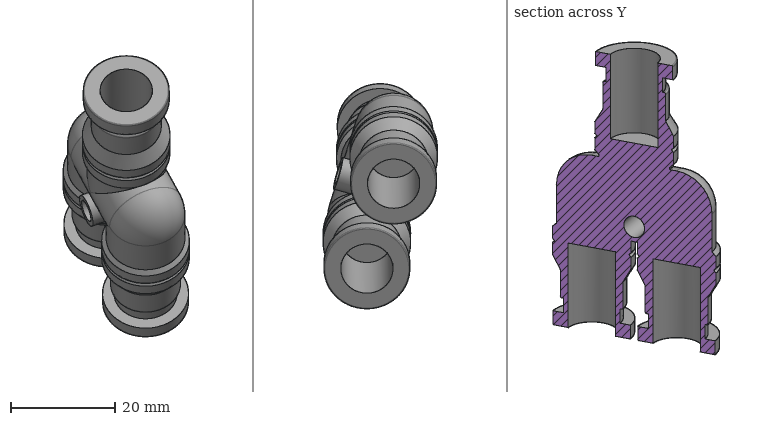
import cadquery as cq

overall_height = 58.5
cross_tube_z = overall_height / 2
leg_offset = 9.0

collar_diameter = 16.8
flange_diameter = 16.5
branch_diameter = 15.12
sleeve_diameter = 13.44
neck_diameter = 12.1
bore_diameter = 10.0

flange_thickness = 3.0
sleeve_start = 5.9
cone_start = 11.75
collar_start = 14.65
groove_center = 17.55
collar_end = 20.5
bore_depth = groove_center

flange_fillet = 0.2
sleeve_fillet = 0.35
groove_depth = 0.45

eye_z = 23.5
eye_diameter = 6.3
eye_hole_diameter = 4.3
eye_length = collar_diameter


def make_port():
    """Solid port with its open end at Z = 0 and its branch reaching the cross tube's axis."""
    flange_radius = flange_diameter / 2
    neck_radius = neck_diameter / 2
    sleeve_radius = sleeve_diameter / 2
    collar_radius = collar_diameter / 2
    branch_radius = branch_diameter / 2
    collar_chamfer = collar_radius - branch_radius
    half_profile = (
        cq.Workplane("XZ")
        .lineTo(flange_radius - flange_fillet, 0)
        .radiusArc((flange_radius, flange_fillet), -flange_fillet)
        .lineTo(flange_radius, flange_thickness)
        .lineTo(neck_radius, flange_thickness)
        .lineTo(neck_radius, sleeve_start)
        .lineTo(sleeve_radius - sleeve_fillet, sleeve_start)
        .radiusArc((sleeve_radius, sleeve_start + sleeve_fillet), -sleeve_fillet)
        .lineTo(sleeve_radius, cone_start)
        .lineTo(collar_radius, collar_start)
        .lineTo(collar_radius, groove_center - groove_depth)
        .lineTo(collar_radius - groove_depth, groove_center)
        .lineTo(collar_radius, groove_center + groove_depth)
        .lineTo(collar_radius, collar_end)
        .lineTo(branch_radius, collar_end + collar_chamfer)
        .lineTo(branch_radius, cross_tube_z)
        .lineTo(0, cross_tube_z)
        .close()
    )
    return half_profile.revolve(360, (0, 0, 0), (0, 1, 0))


def make_bore():
    """Blind bore entering a port from its open end at Z = 0."""
    return cq.Workplane("XY").circle(bore_diameter / 2).extrude(bore_depth)


def place_ports(port_shape):
    """Copies of a port shape: two legs pointing down and one port pointing up."""
    left = port_shape.translate((-leg_offset, 0, 0))
    right = port_shape.translate((leg_offset, 0, 0))
    upper = port_shape.rotate((0, 0, 0), (1, 0, 0), 180).translate((0, 0, overall_height))
    return [left, right, upper]


def make_cross_tube():
    """Horizontal tube joining the legs, with a spherical elbow at each end."""
    radius = branch_diameter / 2
    half_profile = (
        cq.Workplane("XZ", origin=(0, 0, cross_tube_z))
        .moveTo(-leg_offset - radius, 0)
        .radiusArc((-leg_offset, radius), radius)
        .lineTo(leg_offset, radius)
        .radiusArc((leg_offset + radius, 0), radius)
        .close()
    )
    return half_profile.revolve(360, (0, 0, 0), (1, 0, 0))


def make_eye_cylinder(diameter):
    """Cylinder along Y at the mounting eye, centered on the part."""
    return (
        cq.Workplane("XZ", origin=(0, 0, eye_z))
        .circle(diameter / 2)
        .extrude(eye_length / 2, both=True)
    )


result = make_cross_tube()
for port in place_ports(make_port()):
    result = result.union(port)
result = result.union(make_eye_cylinder(eye_diameter))

for bore in place_ports(make_bore()):
    result = result.cut(bore)
result = result.cut(make_eye_cylinder(eye_hole_diameter))